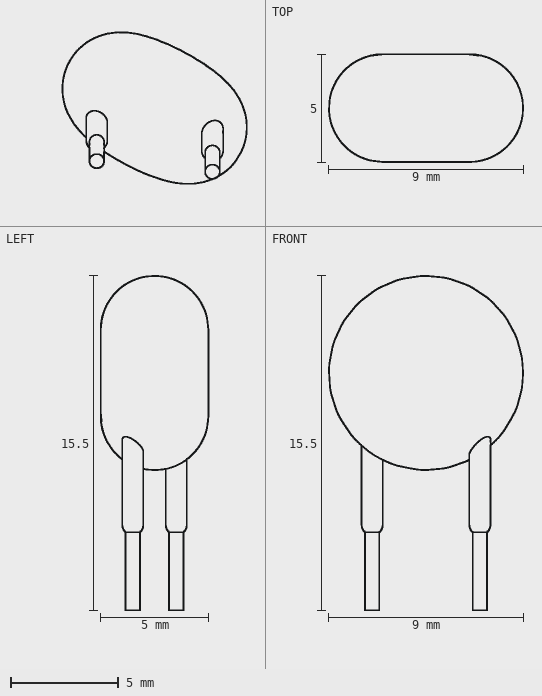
import cadquery as cq
import math

total_height = 15.5
disc_diameter = 9.0
disc_thickness = 5.0

coating_radius = 0.5
wire_radius = 0.34
lead_offset_x = 2.5
lead_offset_y = 1.0
dome_start_depth = 7.02

disc_radius = disc_diameter / 2
rim_radius = disc_thickness / 2
flat_radius = disc_radius - rim_radius
wire_length = total_height - disc_radius
lead_places = [(-lead_offset_x, lead_offset_y), (lead_offset_x, -lead_offset_y)]


def make_disc():
    """Disc with a fully rounded rim and a flat circle on each face."""
    return (
        cq.Workplane("XY")
        .moveTo(0, -rim_radius)
        .lineTo(flat_radius, -rim_radius)
        .threePointArc((disc_radius, 0), (flat_radius, rim_radius))
        .lineTo(0, rim_radius)
        .close()
        .revolve(360, (0, 0, 0), (0, 1, 0))
    )


def make_coated_leg(x, y):
    """Coating around one wire, with a domed lower end."""
    diagonal = coating_radius * math.sqrt(0.5)
    return (
        cq.Workplane("XZ")
        .moveTo(0, 0)
        .lineTo(coating_radius, 0)
        .lineTo(coating_radius, -dome_start_depth)
        .threePointArc(
            (diagonal, -dome_start_depth - diagonal),
            (0, -dome_start_depth - coating_radius),
        )
        .close()
        .revolve(360, (0, 0, 0), (0, 1, 0))
        .translate((x, y, 0))
    )


def make_wire(x, y):
    """Round bare wire, from the disc centre plane down to its tip."""
    return cq.Workplane("XY").center(x, y).circle(wire_radius).extrude(-wire_length)


wires = [make_wire(x, y) for x, y in lead_places]

housing = make_disc()
for x, y in lead_places:
    housing = housing.union(make_coated_leg(x, y))
for wire in wires:
    housing = housing.cut(wire)

result = cq.Compound.makeCompound([housing.solids().val(), *[wire.val() for wire in wires]])